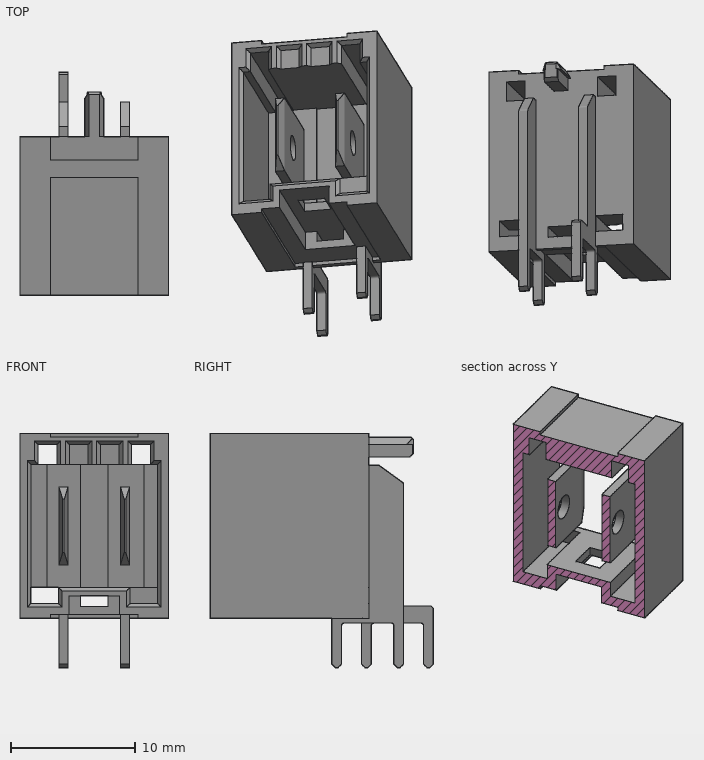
import cadquery as cq


width = 12.0
depth = 12.8
height = 14.9
mouth_chamfer = 0.3

cavity_half_width = 5.1
cavity_floor = 1.2
cavity_top = 12.4
cavity_depth = 9.5

tongue_half_width = 2.9
tongue_top = 2.5
tongue_window_half_width = 1.1
tongue_window_front = 2.6
tongue_window_length = 2.4

channel_half_width = 2.05
channel_roof = 1.8
outlet_half_width = 1.1
outlet_floor = 0.95

slot_width = 1.5
slot_top = 14.0
inner_slot_x = 1.25
outer_slot_x = 3.77
inner_slot_depth = mouth_chamfer

key_back = 0.95

rear_pads = [(-3.8, -1.1), (1.1, 4.0)]
rear_pad_height = 0.2

recess_half_width = 3.53
recess_depth = 0.3
top_recess_back = 9.5
rear_recess_front = 10.9
bottom_recess_back = 12.3

peg_top = height - recess_depth
peg_height = 1.6
peg_half_width = 0.78
peg_top_half_width = 0.43
peg_slope_height = 0.6
peg_web_half_width = 0.58
peg_web_chamfer = 0.08
peg_end = 16.4
peg_tip_length = 0.55
peg_tip_top_chamfer = 0.2
peg_tip_bottom_chamfer = 0.3

contact_x = 2.48
contact_thickness = 0.75
blade_bottom = 4.3
blade_top = 10.6
blade_front = 1.1
blade_tip_length = 1.0
blade_tip_width = 0.12
blade_hole_diameter = 2.0
blade_hole_y = 5.2
plate_back = 15.6
plate_top = 12.35
plate_slope_front = 13.6
plate_slope_bottom = 10.9
plate_corner_radius = 0.2
bar_bottom = -0.4
bar_top = 1.0
bar_corner_chamfer = 0.2
pin_bottom = -4.0
pin_width = 0.8
pin_tip_chamfer = 0.3
pin_pitch = 5.0
pin_root_radius = 0.2
left_bar_back = 18.0
right_bar_back = plate_back


def block(x_min, x_max, y_min, y_max, z_min, z_max):
    """Box given by its limits."""
    size = (x_max - x_min, y_max - y_min, z_max - z_min)
    return cq.Workplane("XY").box(*size, centered=False).translate((x_min, y_min, z_min))


def centred_block(half_width, y_min, y_max, z_min, z_max):
    """Box that is symmetric about X = 0."""
    return block(-half_width, half_width, y_min, y_max, z_min, z_max)


def mouth_funnel(outline):
    """Chamfered entry: `outline(growth)` gives the XZ points of the opening enlarged by growth."""
    return (
        cq.Workplane("XZ")
        .polyline(outline(mouth_chamfer))
        .close()
        .workplane(offset=-mouth_chamfer)
        .polyline(outline(0))
        .close()
        .loft(ruled=True, combine=True)
    )


def cavity_outline(growth):
    side = cavity_half_width + growth
    floor = cavity_floor - growth
    top = cavity_top + growth
    tongue_side = tongue_half_width - growth
    tongue_level = tongue_top - growth
    return [
        (-side, top),
        (-side, floor),
        (-tongue_side, floor),
        (-tongue_side, tongue_level),
        (tongue_side, tongue_level),
        (tongue_side, floor),
        (side, floor),
        (side, top),
    ]


def cut_cavity(body):
    """Plug cavity with its tongue, chamfered mouth and side channels through the rear wall."""
    cavity = cq.Workplane("XZ").polyline(cavity_outline(0)).close().extrude(-cavity_depth)
    rib_half_span = outer_slot_x - slot_width / 2
    rib_ends = centred_block(rib_half_span, 0, mouth_chamfer, cavity_top, height)
    body = body.cut(cavity).cut(mouth_funnel(cavity_outline).cut(rib_ends))
    for left in (-cavity_half_width, tongue_half_width):
        right = left + cavity_half_width - tongue_half_width
        body = body.cut(block(left, right, 0, depth, cavity_floor, tongue_top))
    key = block(tongue_half_width, cavity_half_width, mouth_chamfer, key_back, cavity_floor, tongue_top)
    return body.union(key)


def cut_keying_slot(body, centre, slot_depth):
    def outline(growth):
        half = slot_width / 2 + growth
        top = slot_top + growth
        return [
            (centre - half, cavity_top),
            (centre + half, cavity_top),
            (centre + half, top),
            (centre - half, top),
        ]

    half = slot_width / 2
    slot = block(centre - half, centre + half, 0, slot_depth, cavity_top, slot_top)
    return body.cut(slot).cut(mouth_funnel(outline))


def cut_channel(body):
    """Channel below the tongue, its rear outlet and the window through the tongue."""
    channel = centred_block(channel_half_width, 0, cavity_depth, 0, channel_roof)
    outlet = centred_block(outlet_half_width, 0, depth, outlet_floor, channel_roof)
    window_back = tongue_window_front + tongue_window_length
    window = centred_block(
        tongue_window_half_width, tongue_window_front, window_back, channel_roof, tongue_top
    )
    return body.cut(channel).cut(outlet).cut(window)


def cut_recesses(body):
    """Shallow panels in the top and bottom faces."""
    top_floor = height - recess_depth
    front = centred_block(recess_half_width, 0, top_recess_back, top_floor, height)
    rear = centred_block(recess_half_width, rear_recess_front, depth, top_floor, height)
    bottom = centred_block(recess_half_width, 0, bottom_recess_back, 0, recess_depth)
    return body.cut(front).cut(rear).cut(bottom)


def make_housing():
    body = centred_block(width / 2, 0, depth, 0, height)
    body = cut_cavity(body)
    for side in (-1, 1):
        body = cut_keying_slot(body, side * inner_slot_x, inner_slot_depth)
        body = cut_keying_slot(body, side * outer_slot_x, depth)
    body = cut_channel(body)
    body = cut_recesses(body)
    for left, right in rear_pads:
        pad_front = cavity_depth - rear_pad_height
        body = body.union(block(left, right, pad_front, cavity_depth, tongue_top, cavity_top))
    return body


def make_peg():
    """Rear peg: a narrow web below a wider head with sloping flanks, both tapered at the tip."""
    bottom = peg_top - peg_height
    flank_bottom = peg_top - peg_slope_height
    head_section = [
        (-peg_half_width, flank_bottom),
        (peg_half_width, flank_bottom),
        (peg_top_half_width, peg_top),
        (-peg_top_half_width, peg_top),
    ]
    head_plan = [
        (-peg_half_width, depth),
        (peg_half_width, depth),
        (peg_half_width, peg_end - peg_tip_length),
        (peg_top_half_width, peg_end),
        (-peg_top_half_width, peg_end),
        (-peg_half_width, peg_end - peg_tip_length),
    ]
    profile = [
        (depth, bottom),
        (peg_end - peg_tip_bottom_chamfer, bottom),
        (peg_end, bottom + peg_tip_bottom_chamfer),
        (peg_end, peg_top - peg_tip_top_chamfer),
        (peg_end - peg_tip_top_chamfer, peg_top),
        (depth, peg_top),
    ]
    head = cq.Workplane("XZ").polyline(head_section).close().extrude(-peg_end)
    head_prism = cq.Workplane("XY").polyline(head_plan).close().extrude(height)
    web = centred_block(peg_web_half_width, depth, peg_end, bottom, flank_bottom)
    web = web.edges("|Z and >Y").chamfer(peg_web_chamfer)
    profile_prism = cq.Workplane("YZ").polyline(profile).close().extrude(peg_half_width, both=True)
    return head.intersect(head_prism).union(web).intersect(profile_prism)


def contact_prism(points):
    """Sheet of contact thickness with a YZ outline, centred on X = 0."""
    return cq.Workplane("YZ").polyline(points).close().extrude(contact_thickness / 2, both=True)


def make_blade():
    """Flat mating blade with a four-sided pointed tip and a cross hole."""
    shoulder = blade_front + blade_tip_length
    profile = [
        (blade_front, blade_bottom + blade_tip_length),
        (shoulder, blade_bottom),
        (depth, blade_bottom),
        (depth, blade_top),
        (shoulder, blade_top),
        (blade_front, blade_top - blade_tip_length),
    ]
    half = contact_thickness / 2
    tip_half = blade_tip_width / 2
    plan = [
        (-tip_half, blade_front),
        (tip_half, blade_front),
        (half, shoulder),
        (half, depth),
        (-half, depth),
        (-half, shoulder),
    ]
    plan_prism = cq.Workplane("XY").polyline(plan).close().extrude(height)
    hole = (
        cq.Workplane("YZ")
        .center(blade_hole_y, (blade_bottom + blade_top) / 2)
        .circle(blade_hole_diameter / 2)
        .extrude(contact_thickness)
        .translate((-half, 0, 0))
    )
    return contact_prism(profile).intersect(plan_prism).cut(hole)


def make_plate():
    """Upright plate behind the blade, with its upper rear corner cut away."""
    plate_front = bottom_recess_back
    outline = [
        (plate_front, bar_bottom),
        (plate_back, bar_bottom),
        (plate_back, plate_slope_bottom),
        (plate_slope_front, plate_top),
        (plate_front, plate_top),
    ]
    corner = cq.selectors.NearestToPointSelector((0, plate_back, plate_slope_bottom))
    return contact_prism(outline).edges(corner).fillet(plate_corner_radius)


def make_fork(bar_back):
    """Horizontal bar that carries two solder pins."""
    bar_front = bar_back - pin_pitch - pin_width
    inner_front = bar_front + pin_width
    inner_back = bar_back - pin_width
    tip_shoulder = pin_bottom + pin_tip_chamfer
    outline = [
        (bar_front, bar_top),
        (bar_front, tip_shoulder),
        (bar_front + pin_tip_chamfer, pin_bottom),
        (inner_front - pin_tip_chamfer, pin_bottom),
        (inner_front, tip_shoulder),
        (inner_front, bar_bottom),
        (inner_back, bar_bottom),
        (inner_back, tip_shoulder),
        (inner_back + pin_tip_chamfer, pin_bottom),
        (bar_back - pin_tip_chamfer, pin_bottom),
        (bar_back, tip_shoulder),
        (bar_back, bar_top),
    ]
    fork = contact_prism(outline)
    for y in (inner_front, inner_back):
        root = cq.selectors.NearestToPointSelector((0, y, bar_bottom))
        fork = fork.edges(root).fillet(pin_root_radius)
    return fork


def make_contact(x, bar_back):
    fork = make_fork(bar_back)
    if bar_back > plate_back:
        outer_corner = cq.selectors.NearestToPointSelector((0, bar_back, bar_top))
        fork = fork.edges(outer_corner).chamfer(bar_corner_chamfer)
    return make_blade().union(make_plate()).union(fork).translate((x, 0, 0))


result = (
    make_housing()
    .union(make_peg())
    .union(make_contact(-contact_x, left_bar_back))
    .union(make_contact(contact_x, right_bar_back))
)